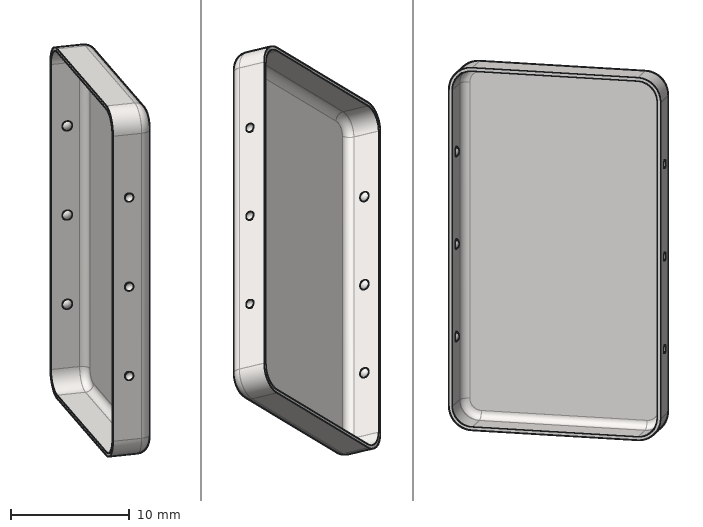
import cadquery as cq

width = 18.4
depth = 3.5
height = 31.4

wall = 0.308
corner_radius = 2.0
back_fillet = 1.0

dimple_rows = 3
dimple_pitch = 8.0
dimple_setback = 1.4
dimple_radius = 0.38
bump_radius = 0.53

front_y = -depth / 2


def rounded_block(inset):
    """Block set in from the outer faces, open-face side flush, back edge rounded."""
    return (
        cq.Workplane("XY")
        .box(width - 2 * inset, depth - inset, height - 2 * inset)
        .translate((0, -inset / 2, 0))
        .edges("|Y")
        .fillet(corner_radius - inset)
        .faces(">Y")
        .edges()
        .fillet(back_fillet - inset)
    )


def inward_dome(side, radius):
    """Hemisphere about the origin, bulging along X away from the given side."""
    turn = 0 if side < 0 else 180
    return cq.Workplane("XY").sphere(radius, angle1=0).rotate((0, 0, 0), (0, 1, 0), 90 + turn)


outer = rounded_block(0)
result = outer.cut(rounded_block(wall))

for side in (-1, 1):
    for row in range(dimple_rows):
        center = (
            side * width / 2,
            front_y + dimple_setback,
            (row - (dimple_rows - 1) / 2) * dimple_pitch,
        )
        bump = inward_dome(side, bump_radius).translate(center)
        dimple = inward_dome(side, dimple_radius).translate(center)
        result = result.union(bump).cut(dimple)